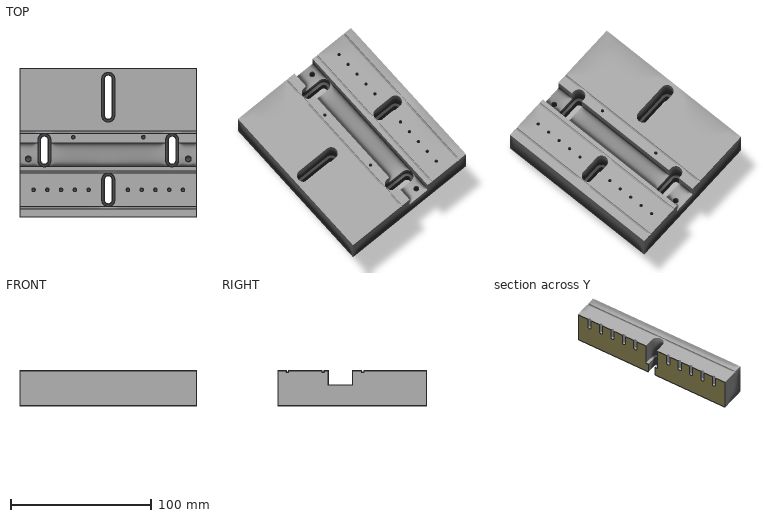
import cadquery as cq
import math

LENGTH = 126.0
WIDTH = 106.0
HEIGHT = 25.0
FRONT_Y = -WIDTH / 2

CHANNEL_WIDTH = 17.0
CHANNEL_DEPTH = 10.0
CHANNEL_FRONT_Y = FRONT_Y + 36.0
CHANNEL_FLOOR_Z = HEIGHT - CHANNEL_DEPTH

GROOVE_WIDTH = 1.5
GROOVE_DEPTH = 0.9
GROOVE_FRONT_OFFSETS = (6.0, 31.5, 59.75)

SLOT_WIDTH = 5.5
COUNTERBORE_WIDTH = 9.3
COUNTERBORE_DEPTH = 17.0
SHORT_SLOT_TRAVEL = 14.5
LONG_SLOT_TRAVEL = 26.0
REAR_SLOT_Y = FRONT_Y + 85.5
FRONT_SLOT_Y = FRONT_Y + 19.5
SIDE_SLOT_X = 45.5
SIDE_SLOT_Y = FRONT_Y + 47.75

DRILL_POINT_ANGLE = 118.0
SMALL_HOLE_DIAMETER = 2.46
SMALL_HOLE_DEPTH = 8.0
LARGE_HOLE_DIAMETER = 4.13
LARGE_HOLE_DEPTH = 10.0

ROW_HOLES_PER_SIDE = 5
ROW_HOLE_PITCH = 9.8
ROW_INNER_X = 14.0
ROW_Y = FRONT_SLOT_Y
LEDGE_HOLE_X = 25.0
LEDGE_HOLE_Y = FRONT_Y + 57.0
CHANNEL_HOLE_X = 57.0
CHANNEL_HOLE_Y = FRONT_Y + 41.5


def strip_along_x(front_y, width, depth):
    """Cutter over the full length, sunk from the top face."""
    return (
        cq.Workplane("XY")
        .box(LENGTH, width, depth, centered=(True, False, False))
        .translate((0, front_y, HEIGHT - depth))
    )


def obround(x, y, width, travel, bottom_z):
    """Round-ended cutter along Y, from bottom_z up to the top face."""
    return (
        cq.Workplane("XY", origin=(x, y, bottom_z))
        .slot2D(travel + width, width, 90)
        .extrude(HEIGHT - bottom_z)
    )


def stepped_slot(x, y, travel):
    """Through slot with a wider counterbore sunk from the top face."""
    through = obround(x, y, SLOT_WIDTH, travel, 0)
    counterbore = obround(x, y, COUNTERBORE_WIDTH, travel, HEIGHT - COUNTERBORE_DEPTH)
    return through.union(counterbore)


def drilled_hole(x, y, top_z, diameter, depth):
    """Blind hole with a conical drill point below its full-diameter depth."""
    radius = diameter / 2
    point_length = radius / math.tan(math.radians(DRILL_POINT_ANGLE / 2))
    return (
        cq.Workplane("XZ")
        .moveTo(0, 0)
        .lineTo(radius, 0)
        .lineTo(radius, -depth)
        .lineTo(0, -depth - point_length)
        .close()
        .revolve(360, (0, 0), (0, 1))
        .translate((x, y, top_z))
    )


def slots(body):
    """Two slots on the centre line and one near each end of the channel."""
    body = body.cut(stepped_slot(0, REAR_SLOT_Y, LONG_SLOT_TRAVEL))
    body = body.cut(stepped_slot(0, FRONT_SLOT_Y, SHORT_SLOT_TRAVEL))
    for side in (-1, 1):
        body = body.cut(stepped_slot(side * SIDE_SLOT_X, SIDE_SLOT_Y, SHORT_SLOT_TRAVEL))
    return body


def small_hole(x, y):
    """Small blind hole in the top face."""
    return drilled_hole(x, y, HEIGHT, SMALL_HOLE_DIAMETER, SMALL_HOLE_DEPTH)


def large_hole(x, y):
    """Large blind hole in the channel floor."""
    return drilled_hole(x, y, CHANNEL_FLOOR_Z, LARGE_HOLE_DIAMETER, LARGE_HOLE_DEPTH)


def holes(body):
    """Drilled holes, mirrored about the YZ plane."""
    for side in (-1, 1):
        body = body.cut(small_hole(side * LEDGE_HOLE_X, LEDGE_HOLE_Y))
        body = body.cut(large_hole(side * CHANNEL_HOLE_X, CHANNEL_HOLE_Y))
        for index in range(ROW_HOLES_PER_SIDE):
            row_x = ROW_INNER_X + index * ROW_HOLE_PITCH
            body = body.cut(small_hole(side * row_x, ROW_Y))
    return body


def channel_and_grooves(body):
    """Square channel and the shallow grooves beside it."""
    body = body.cut(strip_along_x(CHANNEL_FRONT_Y, CHANNEL_WIDTH, CHANNEL_DEPTH))
    for offset in GROOVE_FRONT_OFFSETS:
        body = body.cut(strip_along_x(FRONT_Y + offset, GROOVE_WIDTH, GROOVE_DEPTH))
    return body


block = cq.Workplane("XY").box(LENGTH, WIDTH, HEIGHT, centered=(True, True, False))
result = holes(slots(channel_and_grooves(block)))